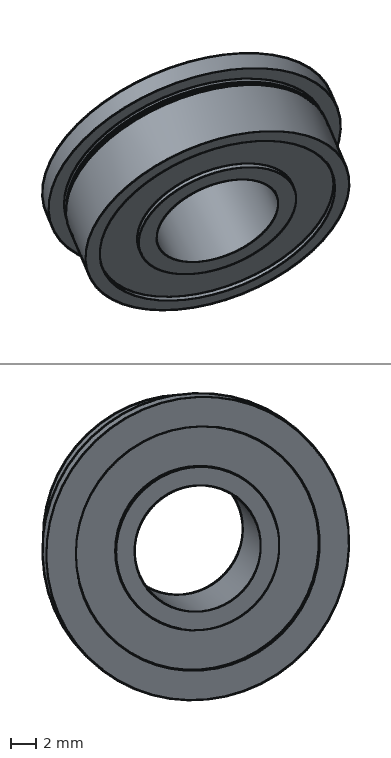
import cadquery as cq

total_width = 7.1
flange_diameter = 24.6
flange_width = 1.58
body_diameter = 22.22
bore_diameter = 10.25

groove_depth = 0.22
groove_floor_start = 0.22
groove_floor_end = 0.37
groove_width = 0.75
flange_taper_rise = 0.12

inner_ring_diameter = 13.26
outer_ring_inner_diameter = 19.8
recess_depth = 0.4


def make_ring_body():
    """Revolve the flange, relief groove and body around the bore."""
    flange_radius = flange_diameter / 2
    body_radius = body_diameter / 2
    bore_radius = bore_diameter / 2
    floor_radius = body_radius - groove_depth
    profile = (
        cq.Workplane("XZ")
        .moveTo(0, bore_radius)
        .lineTo(0, flange_radius)
        .lineTo(flange_width, flange_radius)
        .lineTo(flange_width, floor_radius + flange_taper_rise)
        .lineTo(flange_width + groove_floor_start, floor_radius)
        .lineTo(flange_width + groove_floor_end, floor_radius)
        .lineTo(flange_width + groove_width, body_radius)
        .lineTo(total_width, body_radius)
        .lineTo(total_width, bore_radius)
        .close()
    )
    return profile.revolve(360, (0, 0, 0), (1, 0, 0))


def make_recess(start_x):
    """Annular cutter extending in +X from start_x."""
    return (
        cq.Workplane("YZ", origin=(start_x, 0, 0))
        .circle(outer_ring_inner_diameter / 2)
        .circle(inner_ring_diameter / 2)
        .extrude(recess_depth)
    )


result = make_ring_body()
for recess_start in (0, total_width - recess_depth):
    result = result.cut(make_recess(recess_start))